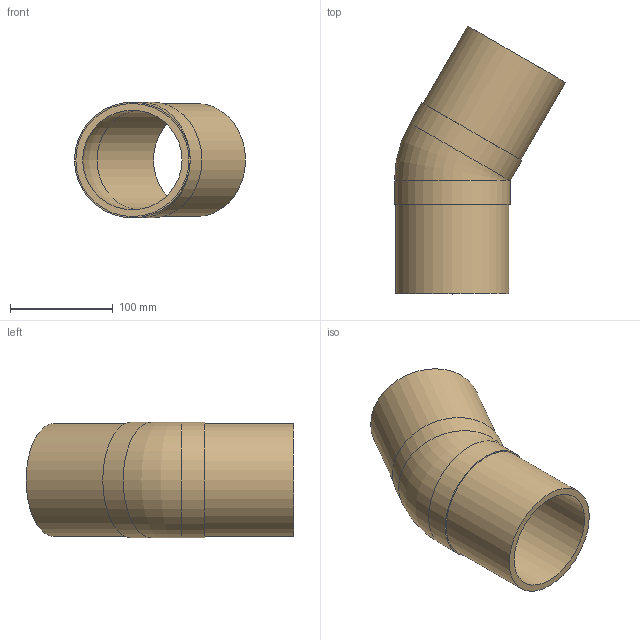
import cadquery as cq
import math

PIPE_DIAMETER = 110.0
BORE_DIAMETER = 96.8
COLLAR_DIAMETER = 112.64
BEND_ANGLE = 30.0
BEND_RADIUS = 56.4
END_TO_CORNER = 125.0
PIPE_LENGTH = 87.0

LEG_LENGTH = END_TO_CORNER - BEND_RADIUS * math.tan(math.radians(BEND_ANGLE / 2))
COLLAR_LENGTH = LEG_LENGTH - PIPE_LENGTH

BEND_CENTER = (BEND_RADIUS, 0, 0)
BEND_CENTER_TOP = (BEND_RADIUS, 0, 1)


def ring(workplane, outer_diameter):
    """Sketch a tube wall around the common bore."""
    return workplane.circle(outer_diameter / 2).circle(BORE_DIAMETER / 2)


def make_inlet_leg():
    """Collar from the bend toward -Y, continued by the thinner bare pipe."""
    bend_start = cq.Workplane("XZ")
    collar = ring(bend_start, COLLAR_DIAMETER).extrude(COLLAR_LENGTH)
    pipe_start = bend_start.workplane(offset=COLLAR_LENGTH)
    pipe = ring(pipe_start, PIPE_DIAMETER).extrude(PIPE_LENGTH)
    return collar.union(pipe)


def make_outlet_leg(inlet_leg):
    """Same leg flipped toward +Y, then swung to the far end of the bend."""
    flipped = inlet_leg.mirror("XZ")
    return flipped.rotate(BEND_CENTER, BEND_CENTER_TOP, -BEND_ANGLE)


def make_bend():
    """Tube wall revolved about the vertical line through the bend centre."""
    wall = ring(cq.Workplane("XZ"), COLLAR_DIAMETER)
    axis_start = (BEND_RADIUS, 0)
    axis_end = (BEND_RADIUS, -1)
    return wall.revolve(BEND_ANGLE, axis_start, axis_end)


inlet_leg = make_inlet_leg()
outlet_leg = make_outlet_leg(inlet_leg)
result = make_bend().union(inlet_leg).union(outlet_leg)